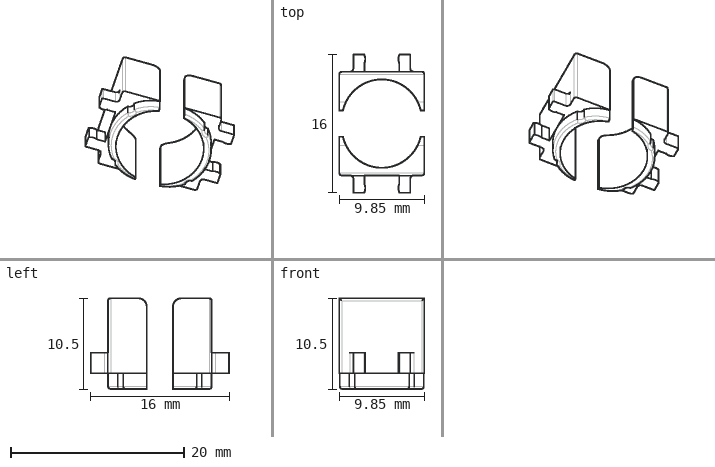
import cadquery as cq
import math

width = 9.85
total_height = 10.5
skirt_height = 1.8
gap = 3.0
back_y = 6.0
split_y = gap / 2
back_round = 0.3
lip_round = 1.0

bore_radius = 4.6
bore_center_y = 0.5

skirt_radius = 4.88
skirt_center_y = back_y - skirt_radius
skirt_edge_round = 0.3

tab_tip_y = 8.0
tab_height = 2.4
tab_inner_x = 2.0
tab_outer_x = 3.3
tab_corner = 0.1
tab_foot_round = 0.4
tab_root_depth = 0.3
bulge_height = 0.1
bulge_start_y = 7.0
bulge_end_y = tab_tip_y - tab_corner

groove_radius = 0.55
groove_x = tab_outer_x + tab_foot_round
groove_y = 4.8

sin_45 = math.sqrt(0.5)


def make_block():
    """Rectangular block whose rounded back edges meet in mitres at the top corners."""
    depth = back_y - split_y
    plan = (
        cq.Workplane("XY", origin=(0, split_y, skirt_height))
        .rect(width, 2 * depth)
        .extrude(total_height - skirt_height)
        .edges("|Z and >Y")
        .fillet(back_round)
    )
    side = (
        cq.Workplane("XY", origin=(0, split_y, skirt_height))
        .box(width, depth, total_height - skirt_height, centered=(True, False, False))
        .edges("|X and >Y and >Z")
        .fillet(back_round)
        .edges("|X and <Y and >Z")
        .fillet(lip_round)
    )
    return plan.intersect(side)


def make_skirt():
    """Round skirt with two grooves, a rounded lower edge and a flat inner face."""
    disc = cq.Workplane("XY", origin=(0, skirt_center_y, 0)).circle(skirt_radius).extrude(skirt_height)
    grooves = (
        cq.Workplane("XY")
        .pushPoints([(-groove_x, groove_y), (groove_x, groove_y)])
        .circle(groove_radius)
        .extrude(skirt_height)
    )
    rounded = disc.cut(grooves).faces("<Z").edges().fillet(skirt_edge_round)
    keep = cq.Workplane("XY", origin=(0, split_y, 0)).box(
        width, back_y - split_y, skirt_height, centered=(True, False, False)
    )
    return rounded.intersect(keep)


def make_tab():
    """Tab on the +X side, with a filleted outer foot and a bulged inner side."""
    root_y = back_y - tab_root_depth
    foot_x = tab_outer_x + tab_foot_round
    foot_y = back_y + tab_foot_round
    foot_reach = tab_foot_round * (1 - sin_45)
    corner_inset = tab_corner * (1 - sin_45)
    return (
        cq.Workplane("XY", origin=(0, 0, skirt_height))
        .moveTo(tab_inner_x, root_y)
        .lineTo(tab_inner_x, bulge_start_y)
        .threePointArc(
            (tab_inner_x - bulge_height, (bulge_start_y + bulge_end_y) / 2),
            (tab_inner_x, bulge_end_y),
        )
        .threePointArc(
            (tab_inner_x + corner_inset, tab_tip_y - corner_inset),
            (tab_inner_x + tab_corner, tab_tip_y),
        )
        .lineTo(tab_outer_x - tab_corner, tab_tip_y)
        .threePointArc(
            (tab_outer_x - corner_inset, tab_tip_y - corner_inset),
            (tab_outer_x, tab_tip_y - tab_corner),
        )
        .lineTo(tab_outer_x, foot_y)
        .threePointArc(
            (tab_outer_x + foot_reach, back_y + foot_reach),
            (foot_x, back_y),
        )
        .lineTo(foot_x, root_y)
        .close()
        .extrude(tab_height)
    )


def make_half():
    """One half of the holder, on the +Y side."""
    tab = make_tab()
    bore = cq.Workplane("XY", origin=(0, bore_center_y, 0)).circle(bore_radius).extrude(total_height)
    return make_block().union(make_skirt()).union(tab).union(tab.mirror("YZ")).cut(bore)


half_holder = make_half()
halves = [half_holder.rotate((0, 0, 0), (0, 0, 1), turn) for turn in (0, 180)]

result = cq.Compound.makeCompound([half.val() for half in halves])